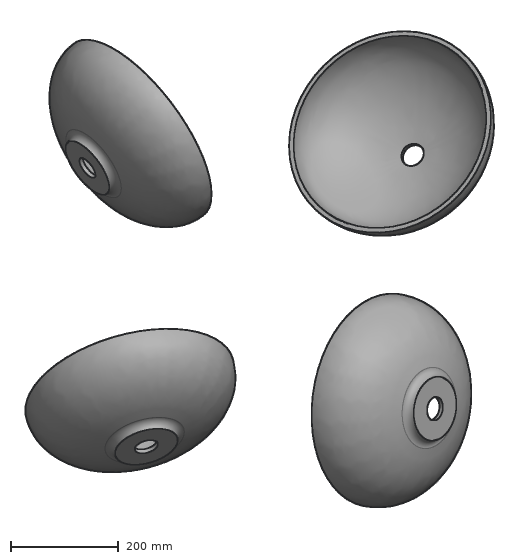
import cadquery as cq
import math

rim_radius = 200.0
total_depth = 130.0

outer_wall_points = [(181.0, 57.0), (145.0, 90.0), (104.0, 108.0)]
flare_radius = 76.0
flare_depth = 115.0
flare_tangent = (-1, -0.24)

foot_radius = 60.0
drain_radius = 22.0

rim_width = 9.0
floor_thickness = 8.0
hollow_radius = rim_radius - rim_width
hollow_depth = total_depth - floor_thickness


def turn(profile):
    """Close a half section and revolve it about the Y axis."""
    return profile.close().revolve(360, (0, 0, 0), (0, 1, 0))


def basin_outside():
    """Solid basin whose wall ends in a concave arc flare above the foot."""
    flare_width = flare_radius - foot_radius
    flare_height = total_depth - flare_depth
    bow = 1 - math.sqrt(0.5)
    flare_middle = (foot_radius + flare_width * bow, -(flare_depth + flare_height * bow))
    rim_tangent = (0, -1)
    wall = [(radius, -depth) for radius, depth in outer_wall_points]
    return turn(
        cq.Workplane("XY")
        .lineTo(rim_radius, 0)
        .spline(wall + [(flare_radius, -flare_depth)], tangents=[rim_tangent, flare_tangent], includeCurrent=True)
        .threePointArc(flare_middle, (foot_radius, -total_depth))
        .lineTo(0, -total_depth)
    )


def basin_hollow():
    """Half ellipsoid that opens at the rim."""
    return turn(
        cq.Workplane("XY")
        .moveTo(0, -hollow_depth)
        .ellipseArc(hollow_radius, hollow_depth, 270, 360, startAtCurrent=True)
        .lineTo(0, 0)
    )


drain = cq.Workplane("XZ").circle(drain_radius).extrude(total_depth)

result = basin_outside().cut(basin_hollow()).cut(drain)